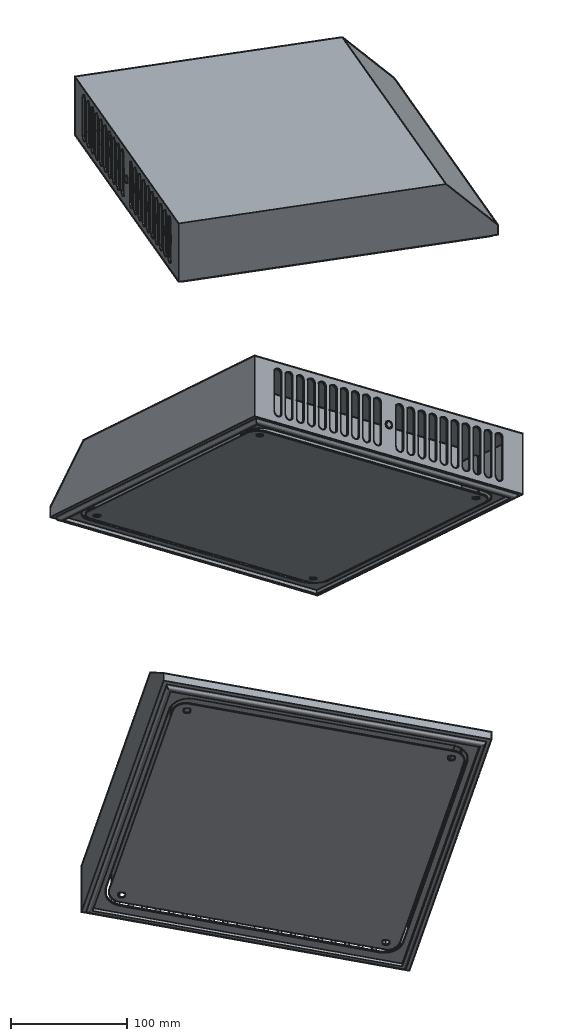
import cadquery as cq
import math

WIDTH = 291.5
DEPTH = 289.5
HEIGHT = 56.5
WALL = 1.7
BACK_HEIGHT = 9.3
SLOPE_DEPTH = 47.2
LIP_SIDE_WIDTH = 13.5
LIP_END_WIDTH = 15.2
LIP_CORNER_RADIUS = 17.5

SLOT_WIDTH = 8.2
SLOT_LENGTH = 44.5
SLOT_BOTTOM = 6.0
SLOT_ROW_SPAN = 240.0
SLOTS_PER_SIDE = 10
SLOT_PITCH = SLOT_ROW_SPAN / (2 * SLOTS_PER_SIDE)

FRAME_THICKNESS = 3.5
FRAME_SIDE_INSET = 3.8
FRAME_FRONT_INSET = 2.5
FRAME_BACK_INSET = 3.8
FRAME_EDGE_RADIUS = 2.3
FRAME_WIDTH = 4.5

TRAY_SIDE_GAP = 3.0
TRAY_END_GAP = 5.8
TRAY_THICKNESS = 1.2
TRAY_CORNER_RADIUS = 11.7
TRAY_WALL_TOP = 47.0
TRAY_WALL_CORNER_RADIUS = 5.8
FRONT_WALL_PLACE = 40.0
FRONT_WALL_WIDTH = 219.7
SIDE_WALL_START = 40.8
TRAY_HOLE_DIAMETER = 6.5
TRAY_HOLE_SIDE_PLACE = 28.3
TRAY_HOLE_END_PLACE = 29.5

HEAD_DIAMETER = 7.0
HEAD_HEIGHT = 1.2
HEAD_EDGE_RADIUS = 1.02
SHANK_DIAMETER = 5.0

MID_X = WIDTH / 2
MID_Y = DEPTH / 2


def box_between(x_span, y_span, z_span):
    """Box between two values on each axis."""
    (x0, x1), (y0, y1), (z0, z1) = x_span, y_span, z_span
    return cq.Workplane("XY").box(x1 - x0, y1 - y0, z1 - z0, centered=False).translate((x0, y0, z0))


def rounded_box(side_inset, end_inset, corner_radius, z_span):
    """Box inset from the housing's outline, with rounded upright edges."""
    box = box_between((side_inset, WIDTH - side_inset), (end_inset, DEPTH - end_inset), z_span)
    return box.edges("|Z").fillet(corner_radius)


def hood_profile(inset, floor):
    """Side outline of the hood in Y and Z, moved inwards by the inset and closed at the floor."""
    slope_angle = math.atan2(HEIGHT - BACK_HEIGHT, SLOPE_DEPTH)
    ridge_shift = inset * math.tan(slope_angle / 2)
    eave_shift = inset * math.tan((math.pi / 2 - slope_angle) / 2)
    return [
        (inset, floor),
        (inset, HEIGHT - inset),
        (DEPTH - SLOPE_DEPTH - ridge_shift, HEIGHT - inset),
        (DEPTH - inset, BACK_HEIGHT - eave_shift),
        (DEPTH - inset, floor),
    ]


def front_disc(diameter, depth):
    """Disc in the middle of the front face, growing backwards for a positive depth."""
    return cq.Workplane("XZ").center(MID_X, HEIGHT / 2).circle(diameter / 2).extrude(-depth)


def vent_slots():
    """All the upright slots through the front wall."""
    slot_middle = SLOT_BOTTOM + SLOT_LENGTH / 2
    places = [
        (MID_X + side * number * SLOT_PITCH, slot_middle)
        for side in (-1, 1)
        for number in range(1, SLOTS_PER_SIDE + 1)
    ]
    return cq.Workplane("XZ").pushPoints(places).slot2D(SLOT_LENGTH, SLOT_WIDTH, 90).extrude(-WALL)


def make_housing():
    hood = cq.Workplane("YZ").polyline(hood_profile(0, 0)).close().extrude(WIDTH)
    inside = cq.Workplane("YZ").workplane(offset=WALL).polyline(hood_profile(WALL, WALL)).close()
    hood = hood.cut(inside.extrude(WIDTH - 2 * WALL))
    lip_opening = rounded_box(LIP_SIDE_WIDTH, LIP_END_WIDTH, LIP_CORNER_RADIUS, (0, WALL))
    return hood.cut(lip_opening).cut(vent_slots()).cut(front_disc(SHANK_DIAMETER, WALL))


def make_frame():
    left, right = FRAME_SIDE_INSET, WIDTH - FRAME_SIDE_INSET
    front, back = FRAME_FRONT_INSET, DEPTH - FRAME_BACK_INSET
    heights = (-FRAME_THICKNESS, 0)
    frame = box_between((left, right), (front, back), heights)
    frame = frame.faces("<Z").edges().fillet(FRAME_EDGE_RADIUS)
    opening = box_between(
        (left + FRAME_WIDTH, right - FRAME_WIDTH),
        (front + FRAME_WIDTH, back - FRAME_WIDTH),
        heights,
    )
    return frame.cut(opening)


def make_tray():
    side_inset = LIP_SIDE_WIDTH + TRAY_SIDE_GAP
    end_inset = LIP_END_WIDTH + TRAY_END_GAP
    tray = rounded_box(side_inset, end_inset, TRAY_CORNER_RADIUS, (-TRAY_THICKNESS, 0))

    hole_span_x = WIDTH - 2 * TRAY_HOLE_SIDE_PLACE
    hole_span_y = DEPTH - 2 * TRAY_HOLE_END_PLACE
    holes = cq.Workplane("XY").center(MID_X, MID_Y).rect(hole_span_x, hole_span_y, forConstruction=True)
    tray = tray.cut(holes.vertices().circle(TRAY_HOLE_DIAMETER / 2).extrude(-TRAY_THICKNESS))

    wall_heights = (-TRAY_THICKNESS, TRAY_WALL_TOP)
    front_wall = box_between(
        (MID_X - FRONT_WALL_WIDTH / 2, MID_X + FRONT_WALL_WIDTH / 2),
        (FRONT_WALL_PLACE, FRONT_WALL_PLACE + TRAY_THICKNESS),
        wall_heights,
    )
    tray = tray.union(front_wall.edges("|Y and >Z").fillet(TRAY_WALL_CORNER_RADIUS))

    for wall_x in (side_inset, WIDTH - side_inset - TRAY_THICKNESS):
        side_wall = box_between(
            (wall_x, wall_x + TRAY_THICKNESS),
            (SIDE_WALL_START, DEPTH - SIDE_WALL_START),
            wall_heights,
        )
        tray = tray.union(side_wall.edges("|X and >Z").fillet(TRAY_WALL_CORNER_RADIUS))
    return tray


def make_screw():
    head = front_disc(HEAD_DIAMETER, -HEAD_HEIGHT).faces("<Y").edges().fillet(HEAD_EDGE_RADIUS)
    return head.union(front_disc(SHANK_DIAMETER, WALL))


housing = make_housing()
frame = make_frame()
tray = make_tray()
screw = make_screw()

result = cq.Compound.makeCompound([housing.val(), frame.val(), tray.val(), screw.val()])